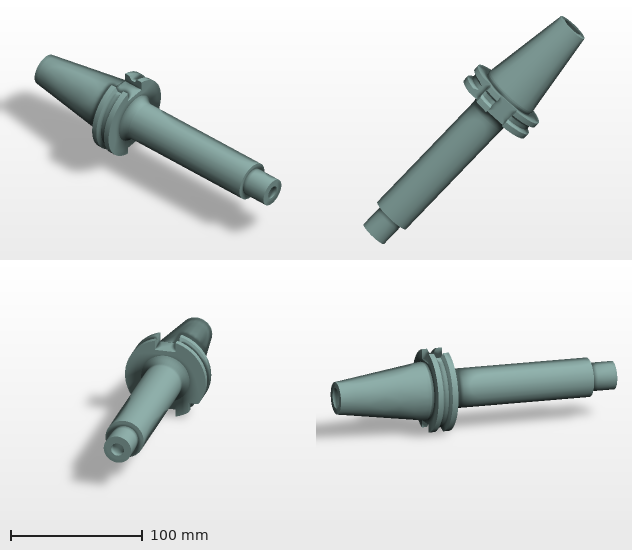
import cadquery as cq
import math

total_length = 221.7
taper_length = 68.3
gauge_band_end = 69.6
flange_start = 71.5
flange_width = 16.0
flange_end = flange_start + flange_width
neck_fillet_end = 94.9
body_end = 201.7

taper_large_radius = 22.5
taper_small_radius = taper_large_radius - taper_length * 7 / 48
relief_radius = 22.0
flange_radius = 31.81
groove_floor_radius = 28.49
neck_radius = 19.0
body_radius = 15.0
tip_radius = 10.9

groove_center = 79.4
groove_floor_width = 3.5
groove_wall_run = (flange_radius - groove_floor_radius) * math.tan(math.radians(30))
groove_floor_start = groove_center - groove_floor_width / 2
groove_floor_end = groove_center + groove_floor_width / 2

drawbar_bore_radius = 7.8
drawbar_bore_depth = 32.0
through_bore_radius = 5.0

drive_slot_width = 16.5
upper_slot_floor = 23.0
lower_slot_floor = 24.8
notch_y = 18.5
notch_z = 18.2


def neck_arc_midpoint():
    """Midpoint of the neck arc, which is tangent to the cylindrical body."""
    run = neck_fillet_end - flange_end
    rise = neck_radius - body_radius
    radius = (run**2 + rise**2) / (2 * rise)
    half_angle = math.asin(run / radius) / 2
    x = neck_fillet_end - radius * math.sin(half_angle)
    return x, body_radius + radius * (1 - math.cos(half_angle))


def turned_body():
    """Solid of revolution about X."""
    return (
        cq.Workplane("XY")
        .moveTo(0, 0)
        .lineTo(0, taper_small_radius)
        .lineTo(taper_length, taper_large_radius)
        .lineTo(gauge_band_end, taper_large_radius)
        .lineTo(gauge_band_end, relief_radius)
        .lineTo(flange_start, relief_radius)
        .lineTo(flange_start, flange_radius)
        .lineTo(groove_floor_start - groove_wall_run, flange_radius)
        .lineTo(groove_floor_start, groove_floor_radius)
        .lineTo(groove_floor_end, groove_floor_radius)
        .lineTo(groove_floor_end + groove_wall_run, flange_radius)
        .lineTo(flange_end, flange_radius)
        .lineTo(flange_end, neck_radius)
        .threePointArc(neck_arc_midpoint(), (neck_fillet_end, body_radius))
        .lineTo(body_end, body_radius)
        .lineTo(body_end, tip_radius)
        .lineTo(total_length, tip_radius)
        .lineTo(total_length, 0)
        .close()
        .revolve(360, (0, 0, 0), (1, 0, 0))
    )


def bore(radius, depth):
    """Axial hole cutter starting at the small end of the taper."""
    return cq.Workplane("YZ").circle(radius).extrude(depth)


def flange_cutter(y_min, y_max, z_min, z_max):
    """Box spanning the full flange width."""
    return (
        cq.Workplane("XY")
        .box(flange_width, y_max - y_min, z_max - z_min, centered=False)
        .translate((flange_start, y_min, z_min))
    )


half_slot = drive_slot_width / 2
upper_slot = flange_cutter(-half_slot, half_slot, upper_slot_floor, flange_radius)
lower_slot = flange_cutter(-half_slot, half_slot, -flange_radius, -lower_slot_floor)
orientation_notch = flange_cutter(notch_y, flange_radius, -flange_radius, -notch_z)

result = (
    turned_body()
    .cut(bore(drawbar_bore_radius, drawbar_bore_depth))
    .cut(bore(through_bore_radius, total_length))
    .cut(upper_slot)
    .cut(lower_slot)
    .cut(orientation_notch)
)